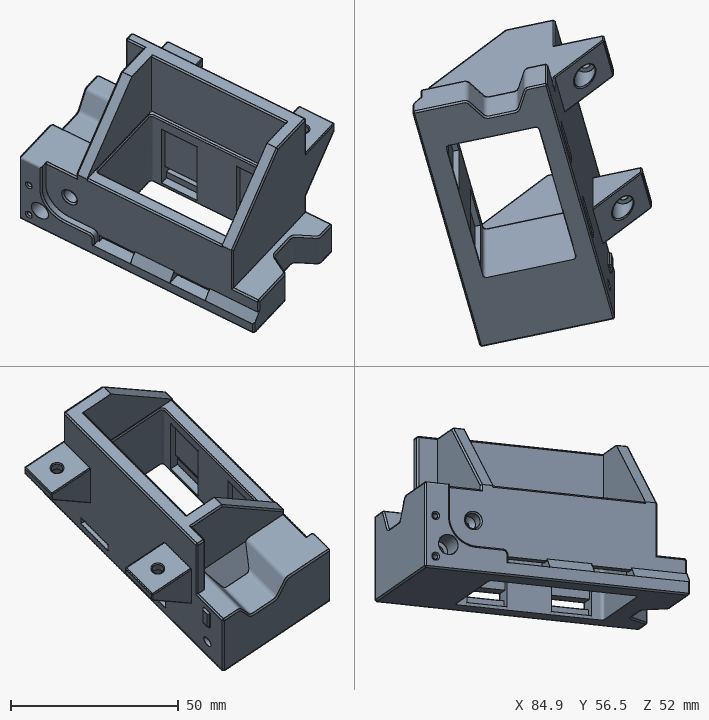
import cadquery as cq
import math

CLEAR = 0.85
TOUCH = 0.1
LENGTH = 84.9
BODY_DEPTH = 41.45
HEIGHT = 52.0
EDGE = 0.5

BLOCK_TOP = 26.7
FOOT_TOP = 12.0
HOOD_LEFT = 18.85
HOOD_RIGHT = 75.5
HOOD_SIDE_WALL = 3.9
HOOD_BACK_WALL = 4.75
HOOD_CREST_Y = 26.25
FLANGE_LEFT = 12.4
FLANGE_THICK = 3.3

WINDOW_INSET = 0.6
WINDOW_FRONT = 6.8
WINDOW_BACK = 35.3
WINDOW_RADIUS = 1.1
WINDOW_RIM = 0.4

GROOVE_MID_Y = 25.7
GROOVE_DEPTH = 7.05
GROOVE_HALF_FLOOR = 4.8
GROOVE_FLARE = 30.0
GROOVE_RADIUS = 1.9
GROOVE_END_X = 12.8

RECESS_DEPTH = 2.5
SCREW_X = 16.5
SCREW_Z = 16.7
RECESS_RADIUS = 8.5
LIP_END_X = 26.75
LIP_ROUND = 1.7
LIP_LOW_Z = 4.1
RAMP_TOP_Z = 7.2

RAMP_GAPS = ((LIP_END_X, 40.1), (54.35, 67.2))
SLOTS = ((LIP_END_X + EDGE, 40.1), (54.35, 67.2))
SLOT_TOP = 6.6
LATCH_TOP = 24.1
LATCH_BOTTOM = 1.0
LATCH_DEPTH = 1.8
LATCH_STEP_DEPTH = 2.6
LATCH_SILL = 3.6

BRACKET_WIDTH = 12.9
BRACKET_LEFTS = (15.0, HOOD_RIGHT - BRACKET_WIDTH)
BRACKET_REACH = 15.0
BRACKET_TOP = 36.95
BRACKET_TIP = 3.0
BRACKET_HOLE_REACH = 7.65
BRACKET_EDGE = 0.3

BOLT_X = 7.5
BOLT_Z = 7.7
BOLT_D = 3.4
BOLT_HEAD_D = 6.2
BOLT_HEAD_DEPTH = 8.5
SCREW_D = 4.7
SCREW_DEPTH = 6.8
SCREW_PILOT_END = 11.9
PILOT_D = 1.6
PILOT_RIM = 0.4
PILOT_DEPTH = 5.1
PILOT_X = 3.4
PILOT_ZS = (3.65, 16.3)

TAB_MID_X = 7.5
TAB_WIDTH = 3.0
TAB_BOTTOM = 16.9
TAB_TOP = 23.9
TAB_THICK = 0.9

TOP_FRONT_ROUND = 0.9

HOOD_FLOOR = HEIGHT - (HOOD_CREST_Y - RECESS_DEPTH)
HOOD_INNER_LEFT = HOOD_LEFT + HOOD_SIDE_WALL
HOOD_INNER_RIGHT = HOOD_RIGHT - HOOD_SIDE_WALL
HOOD_INNER_BACK = BODY_DEPTH - HOOD_BACK_WALL


def box(x0, x1, y0, y1, z0, z1):
    return cq.Workplane("XY").box(x1 - x0, y1 - y0, z1 - z0, centered=False).translate((x0, y0, z0))


def yz_prism(points, x0, x1):
    """Extrude a (Y, Z) outline along X."""
    return cq.Workplane("YZ").polyline(points).close().extrude(x1 - x0).translate((x0, 0, 0))


def front_cylinder(x, z, diameter, y0, y1):
    """Cylinder along +Y between two depths."""
    return cq.Workplane("XZ", origin=(x, y0, z)).circle(diameter / 2).extrude(y0 - y1)


def front_cone(x, z, d0, d1, y0, length):
    """Cone along +Y going from diameter d0 to d1."""
    solid = cq.Solid.makeCone(d0 / 2, d1 / 2, length, pnt=cq.Vector(x, y0, z), dir=cq.Vector(0, 1, 0))
    return cq.Workplane(obj=solid)


def edges_in(shape, x, y, z):
    """Edges whose middle lies in the given X, Y and Z ranges."""
    return shape.edges(cq.selectors.BoxSelector((x[0], y[0], z[0]), (x[1], y[1], z[1])))


def near(value):
    """Narrow range around one coordinate."""
    return (value - TOUCH, value + TOUCH)


def groove(length):
    """Trapezoid groove along X, its open side at Z = 0, with rounded corners."""
    half_top = GROOVE_HALF_FLOOR + GROOVE_DEPTH * math.tan(math.radians(GROOVE_FLARE))
    half_cover = half_top + 2 * GROOVE_RADIUS
    outline = [
        (GROOVE_MID_Y - half_cover, 0),
        (GROOVE_MID_Y - half_top, 0),
        (GROOVE_MID_Y - GROOVE_HALF_FLOOR, -GROOVE_DEPTH),
        (GROOVE_MID_Y + GROOVE_HALF_FLOOR, -GROOVE_DEPTH),
        (GROOVE_MID_Y + half_top, 0),
        (GROOVE_MID_Y + half_cover, 0),
        (GROOVE_MID_Y + half_cover, GROOVE_DEPTH),
        (GROOVE_MID_Y - half_cover, GROOVE_DEPTH),
    ]
    solid = yz_prism(outline, 0, length)
    mid_span = (GROOVE_MID_Y - half_top - TOUCH, GROOVE_MID_Y + half_top + TOUCH)
    corners = edges_in(solid, (TOUCH, length - TOUCH), mid_span, (-GROOVE_DEPTH - TOUCH, TOUCH))
    return corners.fillet(GROOVE_RADIUS)


def left_block():
    block = box(0, HOOD_RIGHT, 0, BODY_DEPTH, 0, BLOCK_TOP)
    channel = groove(HOOD_LEFT).translate((0, 0, BLOCK_TOP))
    floor_z = BLOCK_TOP - GROOVE_DEPTH
    run = HOOD_LEFT - GROOVE_END_X + CLEAR
    end_slope = (cq.Workplane("XZ").moveTo(GROOVE_END_X, floor_z)
                 .lineTo(GROOVE_END_X + run, floor_z)
                 .lineTo(GROOVE_END_X + run, floor_z + run)
                 .close().extrude(-BODY_DEPTH))
    return block.cut(channel.cut(end_slope))


def right_foot():
    foot = box(HOOD_RIGHT - CLEAR, LENGTH, 0, BODY_DEPTH, 0, FOOT_TOP)
    notch = groove(FOOT_TOP).rotate((0, 0, 0), (0, 1, 0), 90).translate((LENGTH, 0, FOOT_TOP))
    return foot.cut(notch)


def hood():
    shell = yz_prism([(RECESS_DEPTH, 0), (BODY_DEPTH, 0), (BODY_DEPTH, HEIGHT),
                      (HOOD_CREST_Y, HEIGHT), (RECESS_DEPTH, HOOD_FLOOR)], HOOD_LEFT, HOOD_RIGHT)
    flange = box(FLANGE_LEFT, HOOD_LEFT + CLEAR, BODY_DEPTH - FLANGE_THICK, BODY_DEPTH,
                 BLOCK_TOP - CLEAR, HEIGHT)
    inside = box(HOOD_INNER_LEFT, HOOD_INNER_RIGHT, 0, HOOD_INNER_BACK, HOOD_FLOOR, HEIGHT + CLEAR)
    return shell.union(flange).cut(inside)


def front_recess():
    """Region above the lip, cut from the front; the lip ends in a ramp to the right."""
    diag = RECESS_RADIUS * math.sqrt(0.5)
    left = SCREW_X - RECESS_RADIUS
    bottom = SCREW_Z - RECESS_RADIUS
    round_mid = LIP_ROUND * math.sqrt(0.5)
    recess = (cq.Workplane("XZ").moveTo(left, BLOCK_TOP + CLEAR).lineTo(left, SCREW_Z)
              .threePointArc((SCREW_X - diag, SCREW_Z - diag), (SCREW_X, bottom))
              .lineTo(LIP_END_X - LIP_ROUND, bottom)
              .threePointArc((LIP_END_X - LIP_ROUND + round_mid, bottom - LIP_ROUND + round_mid),
                             (LIP_END_X, bottom - LIP_ROUND))
              .lineTo(LIP_END_X, LIP_LOW_Z).lineTo(LENGTH + CLEAR, LIP_LOW_Z)
              .lineTo(LENGTH + CLEAR, BLOCK_TOP + CLEAR).close().extrude(-RECESS_DEPTH))
    ramp = yz_prism([(0, LIP_LOW_Z), (RECESS_DEPTH, LIP_LOW_Z), (RECESS_DEPTH, RAMP_TOP_Z)],
                    LIP_END_X, LENGTH + CLEAR)
    for x0, x1 in RAMP_GAPS:
        ramp = ramp.cut(box(x0, x1, 0, RECESS_DEPTH, 0, RAMP_TOP_Z))
    return recess.cut(ramp)


def chamfer_outer_edges(solid):
    """Break the outer edges in one pass so that the corners blend."""
    whole = (-CLEAR, LENGTH + CLEAR)
    above_block = (BLOCK_TOP + TOUCH, HEIGHT - TOUCH)
    regions = [
        ((TOUCH, LIP_END_X + TOUCH), near(0), (LIP_LOW_Z + TOUCH, BLOCK_TOP - TOUCH)),
        (near(0), whole, whole),
        (whole, whole, near(0)),
        (whole, near(BODY_DEPTH), whole),
        ((FLANGE_LEFT - TOUCH, HOOD_LEFT + TOUCH), whole, near(HEIGHT)),
        (near(FLANGE_LEFT), near(BODY_DEPTH - FLANGE_THICK), above_block),
        (near(HOOD_LEFT), (RECESS_DEPTH - TOUCH, HOOD_CREST_Y), above_block),
        (near(HOOD_RIGHT), whole, (FOOT_TOP + TOUCH, HEIGHT + TOUCH)),
        ((SCREW_X - RECESS_RADIUS, HOOD_LEFT - TOUCH), near(RECESS_DEPTH), near(BLOCK_TOP)),
        ((HOOD_RIGHT + TOUCH, LENGTH + TOUCH), whole, near(FOOT_TOP)),
        (near(LENGTH), near(RECESS_DEPTH), (RAMP_TOP_Z, FOOT_TOP)),
        (near(LENGTH), near(0), (TOUCH, LIP_LOW_Z)),
    ]
    edges = solid.newObject([])
    for x, y, z in regions:
        edges = edges.add(edges_in(solid, x, y, z))
    return edges.chamfer(EDGE)


def chamfer_hood_inside(solid):
    """Break the top edges of the hood's front wall and of its inner rear wall."""
    span = (HOOD_INNER_LEFT, HOOD_INNER_RIGHT)
    front_edge = edges_in(solid, span, near(RECESS_DEPTH), near(HOOD_FLOOR))
    rear_edge = edges_in(solid, span, near(HOOD_INNER_BACK), near(HEIGHT))
    return front_edge.add(rear_edge).chamfer(EDGE)


def cut_window(solid):
    """Opening through the hood floor down to the underside."""
    x0 = HOOD_INNER_LEFT + WINDOW_INSET
    x1 = HOOD_INNER_RIGHT - WINDOW_INSET
    window = box(x0, x1, WINDOW_FRONT, WINDOW_BACK, -CLEAR, HOOD_FLOOR).edges("|Z").fillet(WINDOW_RADIUS)
    solid = solid.cut(window)
    rim = edges_in(solid, (x0 - TOUCH, x1 + TOUCH), (WINDOW_FRONT - TOUCH, WINDOW_BACK + TOUCH),
                   near(HOOD_FLOOR))
    return rim.chamfer(WINDOW_RIM)


def latch_slot(x0, x1):
    """Slot through the front and rear walls, with a stepped socket inside each wall."""
    front = box(x0, x1, 0, WINDOW_FRONT, LIP_LOW_Z, SLOT_TOP)
    rear = box(x0, x1, WINDOW_BACK, BODY_DEPTH + CLEAR, LATCH_SILL, SLOT_TOP)
    socket = box(x0, x1, WINDOW_FRONT - LATCH_DEPTH, WINDOW_BACK + LATCH_DEPTH, LATCH_BOTTOM, LATCH_TOP)
    step = box(x0, x1, WINDOW_FRONT - LATCH_STEP_DEPTH, WINDOW_BACK + LATCH_STEP_DEPTH,
               LATCH_BOTTOM, SLOT_TOP)
    return socket.union(step).union(front).union(rear)


def bracket(x0):
    """Wedge bracket with a 45 degree underside and a vertical screw hole."""
    tip_y = BODY_DEPTH + BRACKET_REACH
    tip_z = BRACKET_TOP - BRACKET_TIP
    root_y = BODY_DEPTH - CLEAR
    wedge = yz_prism([(root_y, BRACKET_TOP), (tip_y, BRACKET_TOP), (tip_y, tip_z),
                      (root_y, tip_z - BRACKET_REACH - CLEAR)], x0, x0 + BRACKET_WIDTH)
    wedge = wedge.edges("not <Y").chamfer(BRACKET_EDGE)
    hole_centre = cq.Workplane("XY", origin=(x0 + BRACKET_WIDTH / 2, BODY_DEPTH + BRACKET_HOLE_REACH, 0))
    seat = hole_centre.circle(BOLT_HEAD_D / 2).extrude(tip_z)
    hole = hole_centre.circle(BOLT_D / 2).extrude(HEIGHT)
    wedge = wedge.cut(seat).cut(hole)
    hole_rim = wedge.faces(">Z").edges("%CIRCLE")
    seat_rim = wedge.edges("%ELLIPSE")
    return hole_rim.add(seat_rim).chamfer(BRACKET_EDGE)


def rear_tab():
    tab = box(TAB_MID_X - TAB_WIDTH / 2, TAB_MID_X + TAB_WIDTH / 2,
              BODY_DEPTH - CLEAR, BODY_DEPTH + TAB_THICK, TAB_BOTTOM, TAB_TOP)
    return tab.faces(">Y").edges("not >Z").chamfer(EDGE)


def front_holes():
    bolt = front_cylinder(BOLT_X, BOLT_Z, BOLT_D, 0, BODY_DEPTH + TAB_THICK)
    bolt = bolt.union(front_cylinder(BOLT_X, BOLT_Z, BOLT_HEAD_D, 0, BOLT_HEAD_DEPTH))
    screw = front_cone(SCREW_X, SCREW_Z, SCREW_D + 2 * EDGE, SCREW_D, RECESS_DEPTH, EDGE)
    screw = screw.union(front_cone(SCREW_X, SCREW_Z, SCREW_D, PILOT_D, SCREW_DEPTH, (SCREW_D - PILOT_D) / 2))
    screw = screw.union(front_cylinder(SCREW_X, SCREW_Z, SCREW_D, RECESS_DEPTH, SCREW_DEPTH))
    screw = screw.union(front_cylinder(SCREW_X, SCREW_Z, PILOT_D, RECESS_DEPTH, SCREW_PILOT_END))
    holes = bolt.union(screw)
    for z in PILOT_ZS:
        pilot = front_cylinder(PILOT_X, z, PILOT_D, 0, PILOT_DEPTH)
        rim = front_cone(PILOT_X, z, PILOT_D + 2 * PILOT_RIM, PILOT_D, 0, PILOT_RIM)
        holes = holes.union(pilot).union(rim)
    return holes


body = left_block().union(right_foot()).union(hood()).cut(front_recess())
body = chamfer_outer_edges(body)
body = edges_in(body, (0, SCREW_X - RECESS_RADIUS), near(0), near(BLOCK_TOP)).fillet(TOP_FRONT_ROUND)
body = chamfer_hood_inside(body)
body = cut_window(body)
for slot_start, slot_end in SLOTS:
    body = body.cut(latch_slot(slot_start, slot_end))
for left in BRACKET_LEFTS:
    body = body.union(bracket(left))
result = body.union(rear_tab()).cut(front_holes())